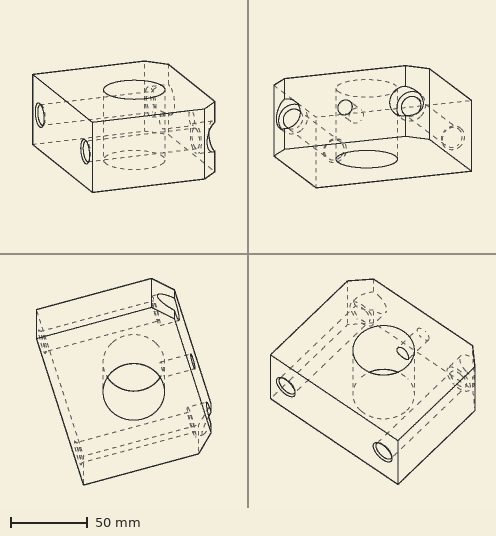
import cadquery as cq

width = 108.0
depth = 90.0
height = 48.0
corner_chamfer = 12.0

bore_diameter = 40.0
bore_from_front = 50.0

bolt_spacing = 82.0
bolt_diameter = 13.5
bolt_mouth_diameter = 16.0
counterbore_diameter = 20.0
counterbore_depth = 13.0

port_diameter = 10.0

front_y = -depth / 2
back_y = depth / 2
bore_y = front_y + bore_from_front


def cylinder_along_y(diameter, x, start_y, end_y):
    """Cylinder at mid height, from start_y to end_y."""
    return cq.Workplane(
        cq.Solid.makeCylinder(
            diameter / 2, end_y - start_y, cq.Vector(x, start_y, 0), cq.Vector(0, 1, 0)
        )
    )


def bolt_hole(x):
    """Through hole with a countersunk front mouth and a counterbore at the back."""
    mouth_depth = (bolt_mouth_diameter - bolt_diameter) / 2
    shank = cylinder_along_y(bolt_diameter, x, front_y, back_y)
    mouth = cq.Workplane(
        cq.Solid.makeCone(
            bolt_mouth_diameter / 2,
            bolt_diameter / 2,
            mouth_depth,
            cq.Vector(x, front_y, 0),
            cq.Vector(0, 1, 0),
        )
    )
    counterbore = cylinder_along_y(counterbore_diameter, x, back_y - counterbore_depth, back_y)
    return shank.union(mouth).union(counterbore)


block = cq.Workplane("XY").box(width, depth, height)
block = block.edges("|Z and >Y").chamfer(corner_chamfer)

bore = cq.Workplane("XY").center(0, bore_y).circle(bore_diameter / 2).extrude(height / 2, both=True)
port = cylinder_along_y(port_diameter, 0, bore_y, back_y)

result = block.cut(bore).cut(port)
for side in (-1, 1):
    result = result.cut(bolt_hole(side * bolt_spacing / 2))